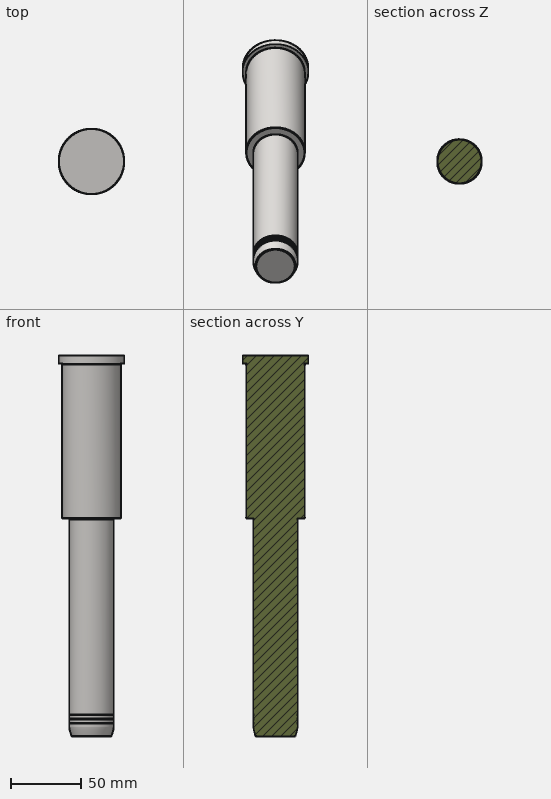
import cadquery as cq

total_length = 271.0

head_diameter = 47.0
head_thickness = 6.0
head_chamfer = 0.4

body_diameter = 42.0
body_end_depth = 116.0
body_chamfer = 0.5

shank_diameter = 32.0

groove_width = 0.8
groove_depth = 0.4
groove_count = 3
groove_pitch = 3.0
lowest_groove_top = 10.0

nose_height = 7.0
nose_end_diameter = 28.2
nose_bulge = 0.3
nose_chamfer = 0.5

body_bottom = total_length - body_end_depth
head_bottom = total_length - head_thickness


def cylinder(diameter, bottom, top):
    """Solid cylinder on the Z axis between two heights."""
    return cq.Workplane("XY").workplane(offset=bottom).circle(diameter / 2).extrude(top - bottom)


def shank():
    """Slim shank with a convex, tapering nose at its lower end."""
    radius = shank_diameter / 2
    end_radius = nose_end_diameter / 2
    mid_radius = (radius + end_radius) / 2 + nose_bulge
    profile = (
        cq.Workplane("XZ")
        .lineTo(end_radius, 0)
        .threePointArc((mid_radius, nose_height / 2), (radius, nose_height))
        .lineTo(radius, body_bottom)
        .lineTo(0, body_bottom)
        .close()
    )
    return profile.revolve(360, (0, 0), (0, 1)).faces("<Z").edges().chamfer(nose_chamfer)


def ring_groove(diameter, top):
    """Ring to cut away, leaving a shallow groove below the given height in a cylinder."""
    bottom = top - groove_width
    outer = cylinder(diameter + 2 * groove_depth, bottom, top)
    return outer.cut(cylinder(diameter - 2 * groove_depth, bottom, top))


head = cylinder(head_diameter, head_bottom, total_length).faces(">Z").edges().chamfer(head_chamfer)
body = cylinder(body_diameter, body_bottom, head_bottom).faces("<Z").edges().chamfer(body_chamfer)

result = shank().union(body).union(head)

result = result.cut(ring_groove(body_diameter, head_bottom))
result = result.cut(ring_groove(shank_diameter, body_bottom))

for index in range(groove_count):
    groove_top = lowest_groove_top + index * groove_pitch
    result = result.cut(ring_groove(shank_diameter, groove_top))